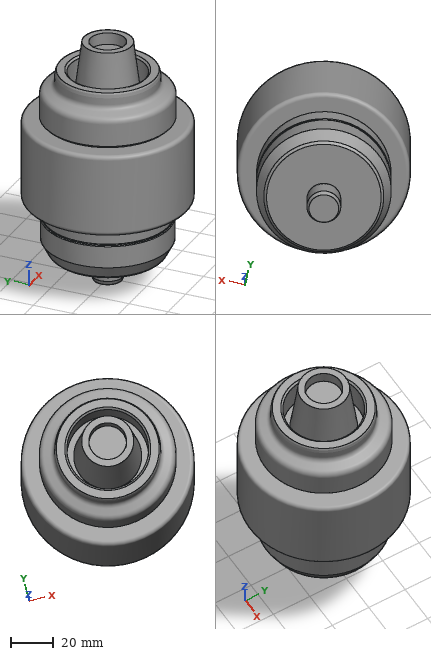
import cadquery as cq
import math

total_height = 124.0

pin_radius = 7.9
pin_end_radius = 7.0
pin_chamfer_height = 2.2
pin_top = 11.5
pin_neck_radius = 6.2
pin_neck_flare = 0.5

body_radius = 31.5
body_bottom = 13.8
body_bottom_radius = 26.8
body_bottom_bevel_height = 1.1
taper_bottom_radius = 28.0
taper_top = 21.3
groove_bottom = 32.4
groove_top = 33.7
groove_radius = 31.0
groove_bevel = 0.4

flange_radius = 40.49
flange_bottom = 42.3
flange_top = 83.8
flange_round = 2.0

shoulder_radius = 32.0
shoulder_foot_radius = 30.5
shoulder_foot_height = 1.4
shoulder_round_bottom = 96.6
shoulder_round = 3.1
shoulder_slope = math.radians(18)

collar_radius = 24.8
collar_fillet = 2.7
collar_bevel_bottom = 106.6
collar_lip_bottom = 108.3
collar_lip_radius = 24.5
collar_top = 109.2
collar_top_radius = 24.0

recess_radius = 19.1
recess_mouth_radius = 20.1
recess_mouth_depth = 1.0
recess_floor = 94.9

nozzle_top_radius = 12.2
nozzle_base_radius = 15.9
bore_radius = 8.8
bore_depth = 6.0

round_mid = math.sqrt(0.5)

round_sweep = math.pi / 2 - shoulder_slope


def shoulder_round_point(angle):
    """Point on the shoulder round, at an angle up from its lower end."""
    return (
        shoulder_radius - shoulder_round * (1 - math.cos(angle)),
        shoulder_round_bottom + shoulder_round * math.sin(angle),
    )


slope_start_radius, slope_start_height = shoulder_round_point(round_sweep)
collar_foot_radius = collar_radius + collar_fillet * (1 - math.cos(round_sweep))
slope_rise = (slope_start_radius - collar_foot_radius) * math.tan(shoulder_slope)
collar_foot = slope_start_height + slope_rise
collar_fillet_top = collar_foot + collar_fillet * math.sin(round_sweep)


def collar_fillet_point(angle):
    """Point on the collar fillet, at an angle down from its upper end."""
    return (
        collar_radius + collar_fillet * (1 - math.cos(angle)),
        collar_fillet_top - collar_fillet * math.sin(angle),
    )


def add_pin(outline):
    """Chamfered pin with a narrow flared neck below the body."""
    return (
        outline.lineTo(pin_end_radius, 0)
        .lineTo(pin_radius, pin_chamfer_height)
        .lineTo(pin_radius, pin_top)
        .lineTo(pin_neck_radius + pin_neck_flare, pin_top)
        .lineTo(pin_neck_radius, pin_top + pin_neck_flare)
        .lineTo(pin_neck_radius, body_bottom - pin_neck_flare)
        .lineTo(pin_neck_radius + pin_neck_flare, body_bottom)
    )


def add_body(outline):
    """Lower body with a tapered end and a shallow ring groove."""
    return (
        outline.lineTo(body_bottom_radius, body_bottom)
        .lineTo(taper_bottom_radius, body_bottom + body_bottom_bevel_height)
        .lineTo(body_radius, taper_top)
        .lineTo(body_radius, groove_bottom)
        .lineTo(groove_radius, groove_bottom + groove_bevel)
        .lineTo(groove_radius, groove_top - groove_bevel)
        .lineTo(body_radius, groove_top)
        .lineTo(body_radius, flange_bottom)
    )


def add_flange(outline):
    """Large central drum with both rims rounded."""
    round_center = flange_radius - flange_round
    mid_radius = round_center + flange_round * round_mid
    lower_center = flange_bottom + flange_round
    upper_center = flange_top - flange_round
    return (
        outline.lineTo(round_center, flange_bottom)
        .threePointArc(
            (mid_radius, lower_center - flange_round * round_mid),
            (flange_radius, lower_center),
        )
        .lineTo(flange_radius, upper_center)
        .threePointArc(
            (mid_radius, upper_center + flange_round * round_mid),
            (round_center, flange_top),
        )
    )


def add_shoulder(outline):
    """Upper shoulder with a bevelled foot and a round that runs smoothly into the sloping top."""
    return (
        outline.lineTo(shoulder_foot_radius, flange_top)
        .lineTo(shoulder_radius, flange_top + shoulder_foot_height)
        .lineTo(shoulder_radius, shoulder_round_bottom)
        .threePointArc(
            shoulder_round_point(round_sweep / 2),
            shoulder_round_point(round_sweep),
        )
    )


def add_collar(outline):
    """Collar rising from the sloping shoulder through a hollow fillet to a bevelled lip."""
    return (
        outline.lineTo(*collar_fillet_point(round_sweep))
        .threePointArc(
            collar_fillet_point(round_sweep / 2),
            collar_fillet_point(0),
        )
        .lineTo(collar_radius, collar_bevel_bottom)
        .lineTo(collar_lip_radius, collar_lip_bottom)
        .lineTo(collar_top_radius, collar_top)
    )


def add_recess_and_nozzle(outline):
    """Annular recess inside the collar, around the tapered nozzle and its blind bore."""
    bore_floor = total_height - bore_depth
    return (
        outline.lineTo(recess_mouth_radius, collar_top)
        .lineTo(recess_radius, collar_top - recess_mouth_depth)
        .lineTo(recess_radius, recess_floor)
        .lineTo(nozzle_base_radius, recess_floor)
        .lineTo(nozzle_top_radius, total_height)
        .lineTo(bore_radius, total_height)
        .lineTo(bore_radius, bore_floor)
        .lineTo(0, bore_floor)
    )


outline = cq.Workplane("XZ").moveTo(0, 0)
for add_section in (
    add_pin,
    add_body,
    add_flange,
    add_shoulder,
    add_collar,
    add_recess_and_nozzle,
):
    outline = add_section(outline)

result = outline.close().revolve(360, (0, 0, 0), (0, 1, 0))